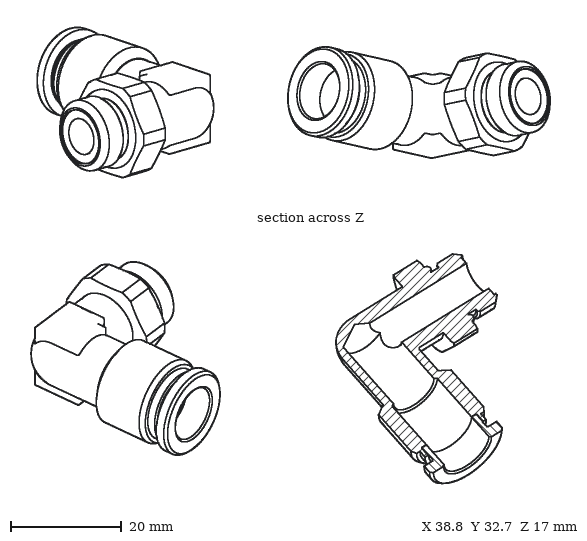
import cadquery as cq
import math

tube_end_x = -29.55
thread_end_y = -24.5

stem_radius = 6.25
sleeve_radius = 8.2
sleeve_taper_x = -13.55
sleeve_taper_end_x = -12.3
sleeve_taper_end_radius = 6.35
sleeve_start_x = -24.4
sleeve_chamfer_length = 1.0
sleeve_chamfer_depth = 0.55
lip_radius = 6.9
lip_start_x = -25.95

pad_near = -6.2
pad_far = 4.05
pad_notch = -4.15
pad_half_height = 6.5
pad_fillet = 0.3
crotch_fillet = 0.3

hex_across_flats = 17.0
hex_corner_radius = 9.25
hex_top_y = -11.8
hex_bottom_y = -17.55
hex_chamfer_radius = 8.45
hex_chamfer_angle = 15

bead_radius = 7.3
bead_section_radius = 0.8

neck_radius = 5.7
thread_radius = 6.55
thread_start_y = -19.55
thread_start_chamfer = 0.4
thread_end_chamfer = 1.15

thread_bore_radius = 3.35
recess_radius = 5.0
recess_depth = 0.35
socket_radius = 5.05
socket_bottom_x = sleeve_taper_x
tube_bore_radius = 4.55
tube_bore_end_x = 2.0
drill_point_half_angle = 59

ring_flange_length = 2.2
ring_flange_chamfer = 0.5
ring_hub_radius = 6.3
ring_hub_length = 0.2
ring_neck_radius = 6.1
ring_length = 5.6
ring_bore_chamfer = 0.35


def turned_about_x(profile):
    """Revolve (x, radius) points about the X axis."""
    return cq.Workplane("XY").polyline(profile).close().revolve(360, (0, 0, 0), (1, 0, 0))


def turned_about_y(profile):
    """Revolve (radius, y) points about the Y axis."""
    return cq.Workplane("XY").polyline(profile).close().revolve(360, (0, 0, 0), (0, 1, 0))


def make_tube_branch():
    return turned_about_x([
        (lip_start_x, 0),
        (lip_start_x, lip_radius),
        (sleeve_start_x, lip_radius),
        (sleeve_start_x, sleeve_radius - sleeve_chamfer_depth),
        (sleeve_start_x + sleeve_chamfer_length, sleeve_radius),
        (sleeve_taper_x, sleeve_radius),
        (sleeve_taper_end_x, sleeve_taper_end_radius),
        (sleeve_taper_end_x, stem_radius),
        (0, stem_radius),
        (0, 0),
    ])


def make_thread_stem():
    stem = turned_about_y([(0, 0), (stem_radius, 0), (stem_radius, hex_top_y), (0, hex_top_y)])
    thread = turned_about_y([
        (0, hex_bottom_y),
        (neck_radius, hex_bottom_y),
        (neck_radius, thread_start_y),
        (thread_radius - thread_start_chamfer, thread_start_y),
        (thread_radius, thread_start_y - thread_start_chamfer),
        (thread_radius, thread_end_y + thread_end_chamfer),
        (thread_radius - thread_end_chamfer, thread_end_y),
        (0, thread_end_y),
    ])
    return stem.union(thread)


def make_hexagon():
    """Hexagon with flats at +-Z, trimmed by a cylinder chamfered at both ends."""
    length = hex_top_y - hex_bottom_y
    across_corners = hex_across_flats / math.cos(math.pi / 6)
    prism = (
        cq.Workplane("XZ", origin=(0, hex_top_y, 0))
        .polygon(6, across_corners)
        .extrude(length)
    )
    chamfer = (hex_corner_radius - hex_chamfer_radius) * math.tan(math.radians(hex_chamfer_angle))
    envelope = turned_about_y([
        (0, hex_top_y),
        (hex_chamfer_radius, hex_top_y),
        (hex_corner_radius, hex_top_y - chamfer),
        (hex_corner_radius, hex_bottom_y + chamfer),
        (hex_chamfer_radius, hex_bottom_y),
        (0, hex_bottom_y),
    ])
    return prism.intersect(envelope)


def make_bead():
    """Half-round ring standing proud of the hexagon's lower face."""
    center_radius = bead_radius - bead_section_radius
    return (
        cq.Workplane("XY")
        .moveTo(bead_radius, hex_bottom_y)
        .threePointArc(
            (center_radius, hex_bottom_y - bead_section_radius),
            (center_radius - bead_section_radius, hex_bottom_y),
        )
        .close()
        .revolve(360, (0, 0, 0), (0, 1, 0))
    )


def make_pads():
    """Square block through the corner, notched on the inside of the bend."""
    return (
        cq.Workplane("XY", origin=(0, 0, -pad_half_height))
        .polyline([
            (pad_near, pad_far),
            (pad_far, pad_far),
            (pad_far, pad_near),
            (pad_notch, pad_near),
            (pad_notch, pad_notch),
            (pad_near, pad_notch),
        ])
        .close()
        .extrude(2 * pad_half_height)
        .edges()
        .fillet(pad_fillet)
    )


def make_thread_passage():
    """Thread bore with a shallow recess at its open end."""
    return turned_about_y([
        (0, 0),
        (thread_bore_radius, 0),
        (thread_bore_radius, thread_end_y + recess_depth),
        (recess_radius, thread_end_y + recess_depth),
        (recess_radius, thread_end_y),
        (0, thread_end_y),
    ])


def make_socket():
    """Tube socket and narrower bore, each with a drill-point cone, and the release ring's seat."""
    ring_end_x = tube_end_x + ring_length
    cone_slope = math.tan(math.radians(drill_point_half_angle))
    stop_end_x = socket_bottom_x + (socket_radius - tube_bore_radius) / cone_slope
    tip_x = tube_bore_end_x + tube_bore_radius / cone_slope
    return turned_about_x([
        (lip_start_x, 0),
        (lip_start_x, ring_neck_radius),
        (ring_end_x, ring_neck_radius),
        (ring_end_x, socket_radius),
        (socket_bottom_x, socket_radius),
        (stop_end_x, tube_bore_radius),
        (tube_bore_end_x, tube_bore_radius),
        (tip_x, 0),
    ])


def make_elbow_body():
    body = make_tube_branch().union(make_thread_stem())
    body = body.union(cq.Workplane("XY").sphere(stem_radius))
    body = body.union(make_pads())
    crotch_edge = cq.selectors.NearestToPointSelector((-stem_radius, -stem_radius, 0))
    body = body.edges(crotch_edge).fillet(crotch_fillet)
    body = body.union(make_hexagon()).union(make_bead())
    return body.cut(make_socket()).cut(make_thread_passage())


def make_release_ring():
    flange_end_x = tube_end_x + ring_flange_length
    hub_end_x = flange_end_x + ring_hub_length
    ring_end_x = tube_end_x + ring_length
    return turned_about_x([
        (tube_end_x, socket_radius + ring_bore_chamfer),
        (tube_end_x, sleeve_radius - ring_flange_chamfer),
        (tube_end_x + ring_flange_chamfer, sleeve_radius),
        (flange_end_x, sleeve_radius),
        (flange_end_x, ring_hub_radius),
        (hub_end_x, ring_neck_radius),
        (ring_end_x, ring_neck_radius),
        (ring_end_x, socket_radius),
        (tube_end_x + ring_bore_chamfer, socket_radius),
    ])


elbow_body = make_elbow_body()
release_ring = make_release_ring()

result = cq.Compound.makeCompound([elbow_body.val(), release_ring.val()])